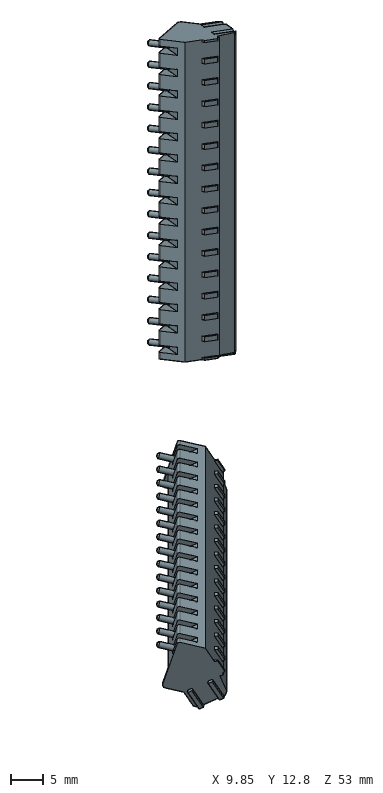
import cadquery as cq
import math

overall_length = 53.0
rail_height = 0.65
body_length = overall_length - rail_height

contact_count = 15
pitch = 3.5
first_contact_z = (body_length - (contact_count - 1) * pitch) / 2

top_y = 12.8
nose_left = 2.3
nose_right = 8.2
nose_chamfer = 0.55
shoulder_y = 9.2
nose_right_foot = 8.7
back_x = 9.35
wing_radius = 0.6
tip_radius = 0.35
tip_corner_x = 6.2
end_wall = 0.5

corner_loss = math.sqrt(2) - 1
wing_corner_x = -wing_radius * corner_loss
wing_corner_y = shoulder_y - nose_left + wing_corner_x
tip_corner_y = wing_corner_y - (tip_corner_x - wing_corner_x)
back_low_y = tip_corner_y + (back_x - tip_corner_x)

tooth_depth = 0.5
tooth_slope = 0.2
tooth_embed = 0.25
tooth_low_y = 6.3
tooth_high_y = 8.95
tooth_height = 0.8

slot_floor_y = 2.5
slot_height = 1.15
pin_diameter = 1.0
pin_chamfer = 0.25
pin_axis_offset = 2.4
pin_embed = 0.8

joint_end_y = 9.15
groove_centers = (3.35, 7.1)
groove_mouth = 1.15
groove_neck = 0.8
groove_depth = 0.65
rail_centers = (3.4, 7.0)
rail_neck = 0.7
rail_width = 1.0


def make_body():
    """Full housing profile, with the 45-degree wing kept only at the end walls."""
    outline = [
        (nose_left + nose_chamfer, top_y),
        (nose_right - nose_chamfer, top_y),
        (nose_right, top_y - nose_chamfer),
        (nose_right_foot, shoulder_y),
        (back_x, shoulder_y),
        (back_x, back_low_y),
        (tip_corner_x, tip_corner_y),
        (wing_corner_x, wing_corner_y),
        (nose_left, shoulder_y),
        (nose_left, top_y - nose_chamfer),
    ]
    body = cq.Workplane("XY").polyline(outline).close().extrude(body_length)
    body = body.edges("|Z and <X").fillet(wing_radius)
    body = body.edges("|Z and <Y").fillet(tip_radius)
    wing_gap = cq.Workplane("XY").box(
        nose_left, top_y, body_length - 2 * end_wall, centered=False
    ).translate((0, 0, end_wall))
    return body.cut(wing_gap)


def make_tooth(center_z):
    """Rear tooth narrowing outward, cut off where it would pass an end of the body."""
    low_z = max(0, center_z - tooth_height / 2)
    high_z = min(body_length, center_z + tooth_height / 2)
    outline = [
        (back_x - tooth_embed, tooth_low_y),
        (back_x, tooth_low_y),
        (back_x + tooth_depth, tooth_low_y + tooth_slope),
        (back_x + tooth_depth, tooth_high_y - tooth_slope),
        (back_x, tooth_high_y),
        (back_x - tooth_embed, tooth_high_y),
    ]
    tooth = cq.Workplane("XY", origin=(0, 0, low_z)).polyline(outline).close()
    return tooth.extrude(high_z - low_z)


def make_slot(center_z):
    """Slot across the tip, with a flat floor facing -Y."""
    slot = cq.Workplane("XY").box(back_x, slot_floor_y, slot_height, centered=(False, False, True))
    return slot.translate((0, 0, center_z))


def make_pin(center_z):
    """Round pin leaving the slot floor along (-X, -Y), chamfered at its free end."""
    end_y = (pin_diameter / 2 - pin_chamfer) * math.sqrt(0.5)
    root_y = slot_floor_y + pin_embed
    length = (root_y - end_y) * math.sqrt(2)
    plane = cq.Plane(
        origin=(root_y + pin_axis_offset, root_y, center_z), xDir=(0, 0, 1), normal=(-1, -1, 0)
    )
    pin = cq.Workplane(plane).circle(pin_diameter / 2).extrude(length)
    return pin.faces("<(1, 1, 0)").chamfer(pin_chamfer)


def make_bar(center_x, top_z, height, end_width, middle_width):
    """Bar along the nose, hanging below top_z, whose width changes at mid height."""
    half_end = end_width / 2
    half_middle = middle_width / 2
    middle_z = top_z - height / 2
    low_z = top_z - height
    outline = [
        (center_x - half_end, top_z),
        (center_x + half_end, top_z),
        (center_x + half_middle, middle_z),
        (center_x + half_end, low_z),
        (center_x - half_end, low_z),
        (center_x - half_middle, middle_z),
    ]
    bar = cq.Workplane("XZ", origin=(0, top_y, 0)).polyline(outline).close()
    return bar.extrude(top_y - joint_end_y)


result = make_body()
for gap_index in range(contact_count + 1):
    result = result.union(make_tooth(first_contact_z + (gap_index - 0.5) * pitch))
for contact_index in range(contact_count):
    contact_z = first_contact_z + contact_index * pitch
    result = result.cut(make_slot(contact_z)).union(make_pin(contact_z))
for rail_x in rail_centers:
    result = result.union(make_bar(rail_x, 0, rail_height, rail_neck, rail_width))
for groove_x in groove_centers:
    result = result.cut(make_bar(groove_x, body_length, groove_depth, groove_mouth, groove_neck))